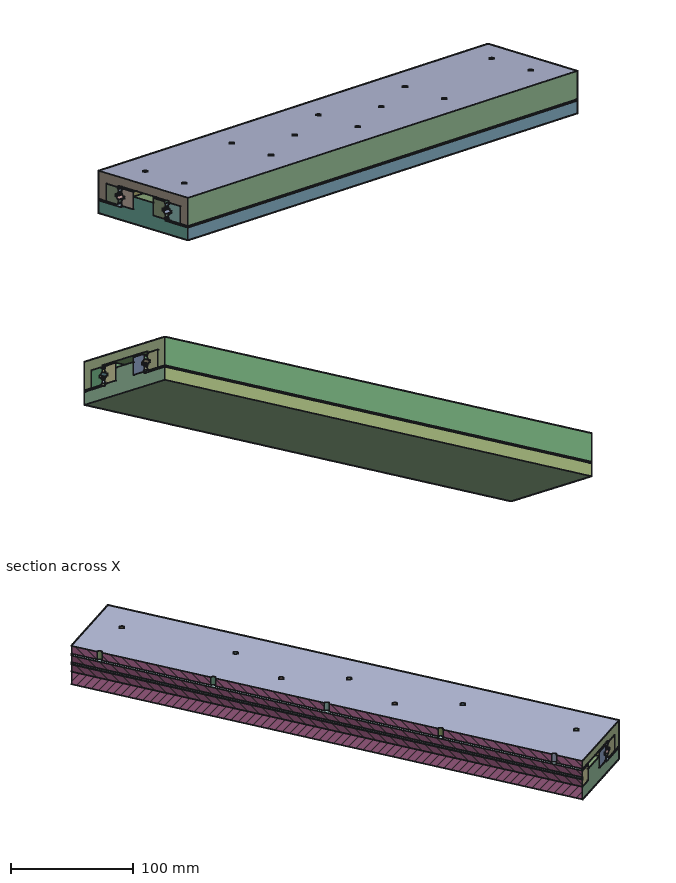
import cadquery as cq

LENGTH = 457.0
WIDTH = 101.5
HEIGHT = 36.5

RAIL_WIDTH = 13.5
RAIL_HEIGHT = 15.0
RAIL_BOTTOM = 12.5
RAIL_TOP = RAIL_BOTTOM + RAIL_HEIGHT
RAIL_MIDDLE = RAIL_BOTTOM + RAIL_HEIGHT / 2
OUTER_RAIL_EDGE = 42.0
RAIL_GAP = 3.45
OUTER_RAIL_FACE = OUTER_RAIL_EDGE - RAIL_WIDTH
INNER_RAIL_FACE = OUTER_RAIL_FACE - RAIL_GAP
INNER_RAIL_EDGE = INNER_RAIL_FACE - RAIL_WIDTH
RAIL_CHAMFER = 1.6

GROOVE_WIDTH = 6.5
RELIEF_WIDTH = 2.0
RELIEF_DEPTH = 3.0
GROOVE_DEPTH = (GROOVE_WIDTH - RELIEF_WIDTH) / 2

CLEARANCE = 1.5
PEDESTAL_TOP = 23.5

HOLE_DIAMETER = 4.0
HOLE_ROWS = 5
END_MARGIN = 0.25
HOLE_PITCH = LENGTH / (HOLE_ROWS - 1 + 2 * END_MARGIN)
HOLE_SPACING = 44.5
MIDDLE_HOLES = 2


def extrude_along_slide(points):
    """Extrude a closed X-Z outline over the whole length, centred on Y = 0."""
    return cq.Workplane("XZ").polyline(points).close().extrude(LENGTH / 2, both=True)


def mirrored(points):
    """Complete a right-hand half outline with its mirror image about X = 0."""
    return points + [(-x, z) for x, z in reversed(points)]


def make_base():
    """Bed with a raised middle pedestal between the two inner rails."""
    ledge_top = RAIL_BOTTOM - CLEARANCE
    right_half = [
        (WIDTH / 2, 0),
        (WIDTH / 2, ledge_top),
        (INNER_RAIL_FACE, ledge_top),
        (INNER_RAIL_FACE, RAIL_BOTTOM),
        (INNER_RAIL_EDGE, RAIL_BOTTOM),
        (INNER_RAIL_EDGE, PEDESTAL_TOP),
    ]
    return extrude_along_slide(mirrored(right_half))


def make_carriage():
    """Channel-shaped table that holds the outer rails, with its mounting holes."""
    right_half = [
        (WIDTH / 2, HEIGHT),
        (WIDTH / 2, RAIL_BOTTOM),
        (OUTER_RAIL_EDGE, RAIL_BOTTOM),
        (OUTER_RAIL_EDGE, RAIL_TOP),
        (OUTER_RAIL_FACE, RAIL_TOP),
        (OUTER_RAIL_FACE, RAIL_TOP + CLEARANCE),
    ]
    side_holes = cq.Workplane("XY").rarray(HOLE_SPACING, HOLE_PITCH, 2, HOLE_ROWS)
    middle_holes = cq.Workplane("XY").rarray(4.5, HOLE_PITCH, 1, MIDDLE_HOLES)
    carriage = extrude_along_slide(mirrored(right_half))
    for centres in (side_holes, middle_holes):
        carriage = carriage.cut(centres.circle(HOLE_DIAMETER / 2).extrude(HEIGHT))
    return carriage


def make_rail(face, edge):
    """Rail between X = face and X = edge, chamfered and grooved on its face."""
    inward = 1 if edge > face else -1
    chamfer_end = face + inward * RAIL_CHAMFER
    flank_end = face + inward * GROOVE_DEPTH
    relief_end = face + inward * RELIEF_DEPTH
    return extrude_along_slide([
        (edge, RAIL_BOTTOM),
        (edge, RAIL_TOP),
        (chamfer_end, RAIL_TOP),
        (face, RAIL_TOP - RAIL_CHAMFER),
        (face, RAIL_MIDDLE + GROOVE_WIDTH / 2),
        (flank_end, RAIL_MIDDLE + RELIEF_WIDTH / 2),
        (relief_end, RAIL_MIDDLE + RELIEF_WIDTH / 2),
        (relief_end, RAIL_MIDDLE - RELIEF_WIDTH / 2),
        (flank_end, RAIL_MIDDLE - RELIEF_WIDTH / 2),
        (face, RAIL_MIDDLE - GROOVE_WIDTH / 2),
        (face, RAIL_BOTTOM + RAIL_CHAMFER),
        (chamfer_end, RAIL_BOTTOM),
    ])


base = make_base()
carriage = make_carriage()

rails = []
for side in (-1, 1):
    rails.append(make_rail(side * OUTER_RAIL_FACE, side * OUTER_RAIL_EDGE).val())
    rails.append(make_rail(side * INNER_RAIL_FACE, side * INNER_RAIL_EDGE).val())

result = cq.Compound.makeCompound([base.val(), carriage.val(), *rails])